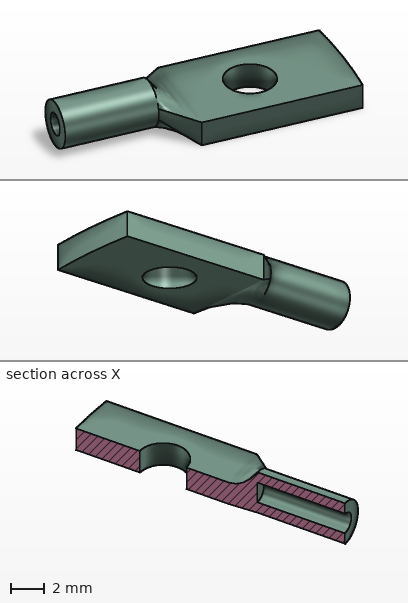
import cadquery as cq
import math

total_length = 18.48
plate_width = 6.5
plate_thickness = 1.6
end_crown = 0.15
hole_diameter = 3.2
hole_to_barrel_end = 12.5
barrel_radius = 1.5
barrel_length = 6.0
barrel_axis_z = plate_thickness
bore_diameter = 1.4
bore_depth = barrel_length
neck_length = 2.0
neck_side_angle = 15
neck_steps = 4

half_width = plate_width / 2
plate_start = barrel_length + neck_length


def blend(start, end, fraction):
    return start + (end - start) * fraction


def make_plate():
    corner_y = total_length - end_crown
    return (
        cq.Workplane("XY")
        .moveTo(-half_width, plate_start)
        .lineTo(half_width, plate_start)
        .lineTo(half_width, corner_y)
        .threePointArc((0, total_length), (-half_width, corner_y))
        .close()
        .extrude(plate_thickness)
    )


def make_barrel():
    return (
        cq.Workplane("XZ")
        .center(0, barrel_axis_z)
        .circle(barrel_radius)
        .extrude(-barrel_length)
    )


def neck_section(fraction):
    """Cross-section going from the plate's rectangle (0) to the barrel's circle (1)."""
    angle = math.radians(neck_side_angle)
    corner_rise = barrel_radius * math.sin(angle)
    y = blend(plate_start, barrel_length, fraction)
    corner_x = blend(half_width, barrel_radius * math.cos(angle), fraction)
    side_x = blend(half_width, barrel_radius, fraction)
    upper_z = blend(plate_thickness, barrel_axis_z + corner_rise, fraction)
    lower_z = blend(0, barrel_axis_z - corner_rise, fraction)
    crown_z = blend(plate_thickness, barrel_axis_z + barrel_radius, fraction**2)
    keel_z = blend(0, barrel_axis_z - barrel_radius, fraction)

    upper_left = cq.Vector(-corner_x, y, upper_z)
    upper_right = cq.Vector(corner_x, y, upper_z)
    lower_left = cq.Vector(-corner_x, y, lower_z)
    lower_right = cq.Vector(corner_x, y, lower_z)
    middle_z = (upper_z + lower_z) / 2
    sides = [
        (upper_left, cq.Vector(0, y, crown_z), upper_right),
        (upper_right, cq.Vector(side_x, y, middle_z), lower_right),
        (lower_right, cq.Vector(0, y, keel_z), lower_left),
        (lower_left, cq.Vector(-side_x, y, middle_z), upper_left),
    ]
    if fraction == 0:
        edges = [cq.Edge.makeLine(start, end) for start, _, end in sides]
    else:
        edges = [cq.Edge.makeThreePointArc(*points) for points in sides]
    return cq.Wire.assembleEdges(edges)


def make_neck():
    sections = [neck_section(step / neck_steps) for step in range(neck_steps + 1)]
    return cq.Workplane(cq.Solid.makeLoft(sections))


def make_hole():
    return (
        cq.Workplane("XY")
        .center(0, hole_to_barrel_end)
        .circle(hole_diameter / 2)
        .extrude(plate_thickness)
    )


def make_bore():
    return (
        cq.Workplane("XZ")
        .center(0, barrel_axis_z)
        .circle(bore_diameter / 2)
        .extrude(-bore_depth)
    )


body = make_plate().union(make_neck()).union(make_barrel())
result = body.cut(make_hole()).cut(make_bore())